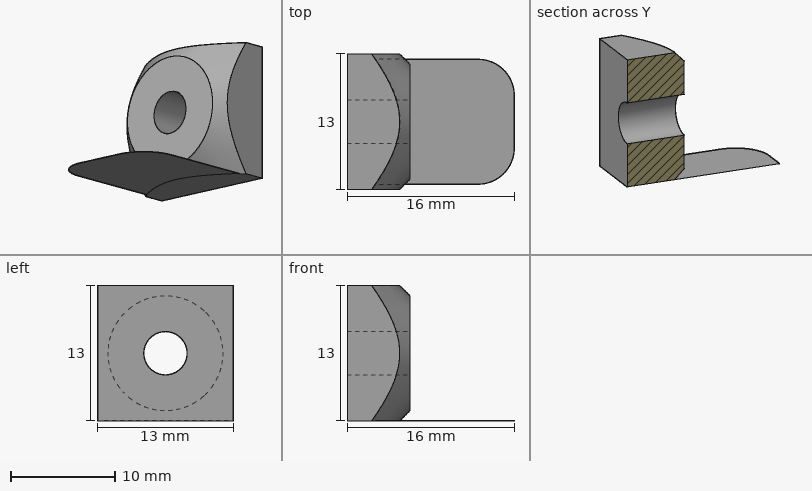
import cadquery as cq

total_length = 16.0
block_side = 13.0
block_depth = 6.0
hole_diameter = 4.13

bevel_at_mid_side = 1.0
half_side = block_side / 2
face_radius = half_side - bevel_at_mid_side
cone_base_radius = face_radius + block_depth

tab_width = 12.0
tab_thickness = 0.05
tab_corner_radius = 3.5


def make_block():
    """Square block trimmed by a cone about X, with a through hole."""
    block = cq.Workplane("YZ").rect(block_side, block_side).extrude(block_depth)
    cone = (
        cq.Workplane("XY")
        .polyline([(0, 0), (0, cone_base_radius), (block_depth, face_radius), (block_depth, 0)])
        .close()
        .revolve(360, (0, 0, 0), (1, 0, 0))
    )
    hole = cq.Workplane("YZ").circle(hole_diameter / 2).extrude(block_depth)
    return block.intersect(cone).cut(hole)


def make_tab():
    """Thin plate, flush with the block's bottom, rounded at its free end."""
    return (
        cq.Workplane("XY", origin=(0, 0, -half_side))
        .rect(total_length, tab_width)
        .extrude(tab_thickness)
        .translate((total_length / 2, 0, 0))
        .edges("|Z and >X")
        .fillet(tab_corner_radius)
    )


result = make_block().union(make_tab())